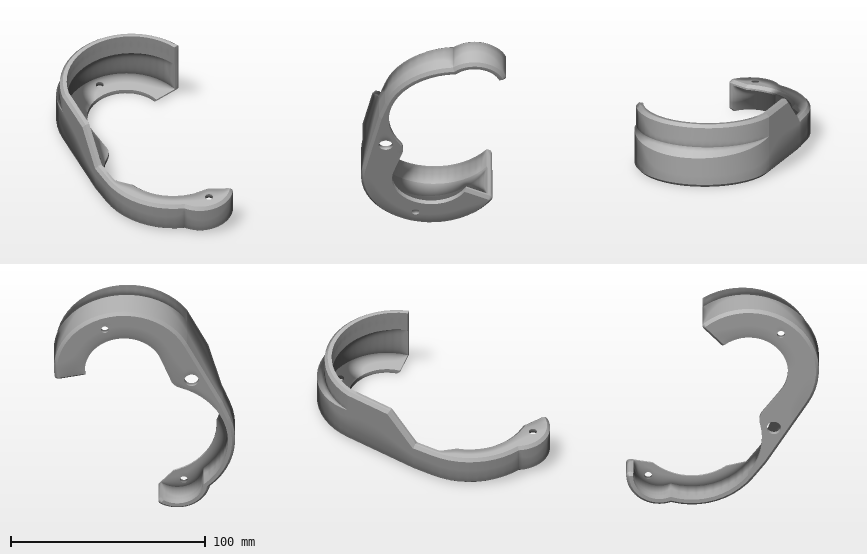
import cadquery as cq
import math

ring_outer_radius = 36.0
ring_inner_radius = 20.1
ring_end_angle = math.radians(99.7)

height = 32.4
arm_height = 16.8
plate_thickness = 2.5
wall_thickness = 3.6
chamfer_size = 1.5

ledge_depth = 4.7
ledge_height = 20.5

arm_center_x = 48.7
arm_outer_radius = 39.6
arm_inner_radius = 30.0
arm_wall_radius = arm_outer_radius - wall_thickness
arm_flat_start_x = 37.7
neck_radius = 7.0
arm_step_x = 57.2

lobe_center_x = 76.4
lobe_radius = 17.1
lobe_edge_y = 2.8
lobe_tip_x = 85.0
tip_radius = 2.1
ring_tip_radius = 2.1

pin_hole_diameter = 4.0
bolt_hole_diameter = 7.3
pin_hole_places = [(-27.5, 0), (85.9, 0)]
bolt_hole_place = (18.5, -30.0)
margin = 13.0
tolerance = 0.01


def on_circle(center_x, radius, angle):
    return (center_x + radius * math.cos(angle), radius * math.sin(angle))


def angle_at_x(center_x, radius, x):
    return math.acos((x - center_x) / radius)


flat_start = (arm_flat_start_x, -arm_outer_radius)
tangent_angle = math.atan2(flat_start[1], flat_start[0]) - math.acos(
    ring_outer_radius / math.hypot(*flat_start)
)
tangent_point = on_circle(0, ring_outer_radius, tangent_angle)

neck_center_y = -ring_inner_radius - neck_radius
neck_reach = arm_wall_radius + neck_radius
neck_center_x = arm_center_x - math.sqrt(neck_reach**2 - neck_center_y**2)
neck_direction = math.atan2(-neck_center_y, arm_center_x - neck_center_x)
neck_middle_angle = (math.pi / 2 + neck_direction) / 2


def plan_outline():
    neck_end = (
        neck_center_x + neck_radius * math.cos(neck_direction),
        neck_center_y + neck_radius * math.sin(neck_direction),
    )
    neck_middle = (
        neck_center_x + neck_radius * math.cos(neck_middle_angle),
        neck_center_y + neck_radius * math.sin(neck_middle_angle),
    )
    wall_middle_angle = (neck_direction - math.pi - math.pi / 2) / 2
    step_angle = -angle_at_x(arm_center_x, arm_inner_radius, arm_step_x)
    lobe_tip_angle = angle_at_x(lobe_center_x, lobe_radius, lobe_tip_x)
    spacing = lobe_center_x - arm_center_x
    crossing_x = arm_center_x + (spacing**2 + arm_outer_radius**2 - lobe_radius**2) / (2 * spacing)
    crossing_angle = -angle_at_x(arm_center_x, arm_outer_radius, crossing_x)
    crossing = on_circle(arm_center_x, arm_outer_radius, crossing_angle)
    return (
        cq.Workplane("XY")
        .moveTo(*on_circle(0, ring_inner_radius, ring_end_angle))
        .threePointArc((-ring_inner_radius, 0), (0, -ring_inner_radius))
        .lineTo(neck_center_x, -ring_inner_radius)
        .threePointArc(neck_middle, neck_end)
        .threePointArc(
            on_circle(arm_center_x, arm_wall_radius, wall_middle_angle),
            (arm_center_x, -arm_wall_radius),
        )
        .lineTo(*on_circle(arm_center_x, arm_inner_radius, step_angle))
        .threePointArc(
            on_circle(arm_center_x, arm_inner_radius, step_angle / 2),
            (arm_center_x + arm_inner_radius, 0),
        )
        .lineTo(arm_center_x + arm_inner_radius, lobe_edge_y)
        .lineTo(*on_circle(lobe_center_x, lobe_radius, lobe_tip_angle))
        .threePointArc((lobe_center_x + lobe_radius, 0), crossing)
        .threePointArc(
            on_circle(arm_center_x, arm_outer_radius, (crossing_angle - math.pi / 2) / 2),
            (arm_center_x, -arm_outer_radius),
        )
        .lineTo(*flat_start)
        .lineTo(*tangent_point)
        .threePointArc((-ring_outer_radius, 0), on_circle(0, ring_outer_radius, ring_end_angle))
        .close()
    )


def ring_side():
    """Full-height block up to the 45 degree slope, which comes down to the arm's flat start."""
    slope_top_x = arm_flat_start_x - (height - arm_height)
    return (
        cq.Workplane("XZ")
        .moveTo(slope_top_x, height)
        .lineTo(arm_flat_start_x, arm_height)
        .lineTo(arm_flat_start_x, 0)
        .lineTo(-ring_outer_radius - margin, 0)
        .lineTo(-ring_outer_radius - margin, height)
        .close()
        .extrude(2 * arm_outer_radius, both=True)
    )


def left_of_tangent():
    """Block covering the ring up to the start of the straight side."""
    size = 4 * ring_outer_radius
    return cq.Workplane("XY").box(size, size, size).translate((tangent_point[0] - size / 2, 0, 0))


def space_outside_cone(inset):
    """Space outside a set-back cylinder on a 45 degree cone, moved inwards by inset."""
    half_chord = -tangent_point[1]
    setback_x = -ring_outer_radius + ledge_depth
    rise = tangent_point[0] - setback_x
    setback_radius = (half_chord**2 + rise**2) / (2 * rise)
    axis_x = setback_x + setback_radius
    inner_radius = setback_radius - inset
    outer_radius = inner_radius + margin
    outside = (
        cq.Workplane("XZ")
        .moveTo(inner_radius, ledge_height)
        .lineTo(outer_radius, ledge_height - margin)
        .lineTo(outer_radius, height + margin)
        .lineTo(inner_radius, height + margin)
        .close()
        .revolve(360, (0, 0, 0), (0, 1, 0))
        .translate((axis_x, 0, 0))
    )
    return outside.intersect(left_of_tangent())


def ring_cavity():
    """Space above the floor, inside the upper wall and widening below the ledge."""
    inner_left = -ring_outer_radius + ledge_depth + wall_thickness
    wall_start = on_circle(0, ring_outer_radius - wall_thickness, tangent_angle)
    shift = wall_thickness * math.tan((-math.pi / 2 - tangent_angle) / 2)
    inside_wall = (
        cq.Workplane("XY", origin=(0, 0, plate_thickness))
        .moveTo(wall_start[0], -wall_start[1])
        .threePointArc((inner_left, 0), wall_start)
        .lineTo(arm_flat_start_x + shift, -arm_wall_radius)
        .lineTo(arm_center_x, -arm_wall_radius)
        .lineTo(arm_center_x, -wall_start[1])
        .close()
        .extrude(height)
    )
    below_ledge = (
        cq.Workplane("XY", origin=(0, 0, plate_thickness))
        .circle(ring_outer_radius - wall_thickness)
        .extrude(ledge_height - plate_thickness)
        .intersect(left_of_tangent())
        .cut(space_outside_cone(wall_thickness))
    )
    return inside_wall.union(below_ledge)


def arm_cavity():
    """Space under the arm's top plate, inside the outer wall of the arm and lobe."""
    cavity_height = arm_height - plate_thickness
    size = 4 * arm_outer_radius
    right_of_center = (
        cq.Workplane("XY").box(size, size, size).translate((arm_center_x + size / 2, 0, 0))
    )
    inside_arm = cq.Workplane("XY").center(arm_center_x, 0).circle(arm_wall_radius).extrude(cavity_height)
    inside_lobe = (
        cq.Workplane("XY")
        .center(lobe_center_x, 0)
        .circle(lobe_radius - wall_thickness)
        .extrude(cavity_height)
    )
    return inside_arm.union(inside_lobe).intersect(right_of_center)


def holes():
    pins = cq.Workplane("XY").pushPoints(pin_hole_places).circle(pin_hole_diameter / 2).extrude(arm_height)
    bolt = cq.Workplane("XY").center(*bolt_hole_place).circle(bolt_hole_diameter / 2).extrude(arm_height)
    return pins.union(bolt)


def round_corner(body, corner, radius):
    nearest = cq.selectors.NearestToPointSelector((*corner, height / 2))
    return body.edges("|Z").edges(nearest).fillet(radius)


def ends(edge):
    return (edge.startPoint(), edge.endPoint())


def is_upright(edge):
    start, end = ends(edge)
    return math.hypot(end.x - start.x, end.y - start.y) < tolerance


def is_on_outer_side(point):
    """True on the outside of the plan outline rather than on its inside or its end face."""
    if point.x < 0:
        return math.hypot(point.x, point.y) > ring_outer_radius - ledge_depth
    if point.x < arm_center_x - tolerance:
        return point.y < -arm_wall_radius
    return math.hypot(point.x - arm_center_x, point.y) > arm_wall_radius + tolerance


def is_outer_edge(edge):
    return not is_upright(edge) and all(is_on_outer_side(point) for point in ends(edge))


def is_ring_rim(edge):
    """Outer edges of the ring's top and of the slope, without the small rounded end corner."""
    top = max(point.z for point in ends(edge))
    return is_outer_edge(edge) and top > height - tolerance and edge.Length() > 2 * ring_tip_radius


def is_arm_rim(edge):
    """Both the outer and inner edges of the arm's top, but not its wall towards the ring."""
    if any(point.z < arm_height - tolerance for point in ends(edge)):
        return False
    return is_outer_edge(edge) or all(point.x > arm_center_x - tolerance for point in ends(edge))


def is_underside_rim(edge):
    return is_outer_edge(edge) and all(point.z < tolerance for point in ends(edge))


body = plan_outline().extrude(height)
body = round_corner(body, (lobe_tip_x, lobe_radius), tip_radius)
body = round_corner(body, on_circle(0, ring_outer_radius, ring_end_angle), ring_tip_radius)

ring = body.intersect(ring_side()).cut(space_outside_cone(0))
ring = ring.edges().filter(is_ring_rim).chamfer(chamfer_size)

arm_blank = (
    cq.Workplane("XY")
    .rect(4 * arm_outer_radius, 4 * arm_outer_radius)
    .extrude(arm_height)
    .translate((arm_flat_start_x + 2 * arm_outer_radius, 0, 0))
)
arm = body.intersect(arm_blank)
arm = arm.edges().filter(is_arm_rim).chamfer(chamfer_size)

body = ring.union(arm)
body = body.edges().filter(is_underside_rim).chamfer(chamfer_size)
result = body.cut(ring_cavity()).cut(arm_cavity()).cut(holes())